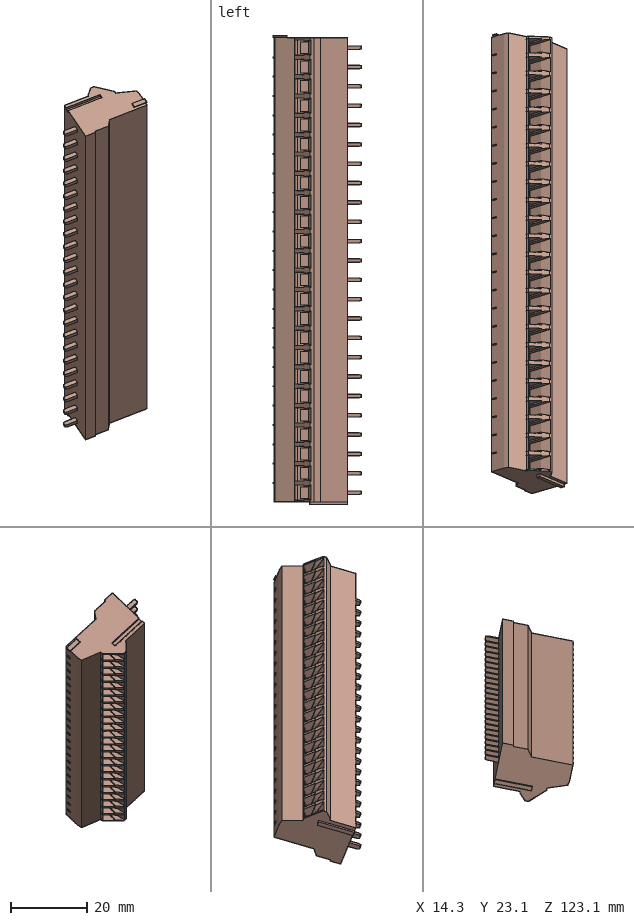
import cadquery as cq


total_length = 123.1
total_height = 23.1
width = 14.3
pole_count = 24
body_length = 121.8
body_height = 19.3
pitch = body_length / pole_count
pole_drop = 0.1

base_left = 2.2
base_right = width
base_step = 0.4
base_step_height = 3.0
back_slant_start = 6.9
back_slant_end = 8.2
back_face = 12.1
nose_root_height = 7.1
nose_lip = 0.4
nose_low = 8.9
nose_high = 9.8
ledge_height = 13.9
ledge_left = 4.0
ledge_right = 4.5
crown_left = 6.4
crown_slope_width = 1.2
crown_slope_drop = 0.2

pin_center_x = 9.0
pin_width = 1.2
pin_thickness = 1.0
pin_length = 3.6
pin_root_depth = 1.2
pin_tip_chamfer = 0.1
pin_tip_length = 0.6

tongue_center_x = 10.8
tongue_tip_width = 1.4
tongue_root_width = 0.9
tongue_length = 3.5
tongue_height = 0.5
bump_width = 1.1
bump_thickness = 0.2
bump_height = total_height - body_height - pin_length

rail_left = 3.2
rail_width = 1.1
rail_top = 10.0
rail_height = total_length - body_length - tongue_height

entry_top = 13.8
entry_shelf = 13.2
entry_funnel_top = 12.4
entry_wide_bottom = 11.5
entry_floor_bottom = 10.3
entry_mouth_bottom = 9.6
entry_wide_mouth = 4.2
entry_mouth = 4.0
entry_floor_height = 3.1
shelf_x = 4.9
step_x = 5.7
floor_x = 6.4
funnel_end_x = 2.5


def box(x0, x1, y0, y1, z0, z1):
    """A block given by its limits along each axis."""
    return cq.Workplane("XY").box(x1 - x0, y1 - y0, z1 - z0, centered=False).translate((x0, y0, z0))


def copies(part, heights):
    """One compound with a copy of the part at each height along Z."""
    solids = [part.val().translate(cq.Vector(0, 0, z)) for z in heights]
    return cq.Workplane(cq.Compound.makeCompound(solids))


def tapered_pocket(start, end):
    """A block tapering along X; each end is (x, y0, y1, height along Z), centred on Z = 0."""
    x0, start_y0, start_y1, start_height = start
    x1, end_y0, end_y1, end_height = end
    return (
        cq.Workplane("YZ", origin=(x0, 0, 0))
        .center((start_y0 + start_y1) / 2, 0)
        .rect(start_y1 - start_y0, start_height)
        .workplane(offset=x1 - x0)
        .center((end_y0 + end_y1 - start_y0 - start_y1) / 2, 0)
        .rect(end_y1 - end_y0, end_height)
        .loft(ruled=True)
    )


def make_body():
    """The housing: one constant cross-section along the whole length."""
    profile = [
        (base_left, 0),
        (base_right, 0),
        (base_right, base_step_height),
        (base_right - base_step, base_step_height),
        (base_right - base_step, back_slant_start),
        (back_face, back_slant_end),
        (back_face, body_height),
        (crown_left + crown_slope_width, body_height),
        (crown_left, body_height - crown_slope_drop),
        (ledge_right, ledge_height),
        (ledge_left, ledge_height),
        (0, nose_high),
        (0, nose_low),
        (base_left - nose_lip, nose_root_height),
        (base_left, nose_root_height),
    ]
    return cq.Workplane("XY").polyline(profile).close().extrude(body_length)


def make_pin():
    """A flat pin pointing to -Y with a tapered tip, centred on Z = 0 and rooted inside the body."""
    tip_width = pin_width - 2 * pin_tip_chamfer
    tip_thickness = pin_thickness - 2 * pin_tip_chamfer
    return (
        cq.Workplane("XZ", origin=(pin_center_x, pin_root_depth, 0))
        .rect(pin_width, pin_thickness)
        .extrude(pin_root_depth + pin_length - pin_tip_length)
        .faces("<Y")
        .workplane()
        .rect(pin_width, pin_thickness)
        .workplane(offset=pin_tip_length)
        .rect(tip_width, tip_thickness)
        .loft(ruled=True)
    )


def make_tongue():
    """A dovetail tongue standing on the upper end face and reaching slightly past the top face."""
    half_root = tongue_root_width / 2
    half_tip = tongue_tip_width / 2
    section = [
        (tongue_center_x - half_root, 0),
        (tongue_center_x + half_root, 0),
        (tongue_center_x + half_tip, tongue_height),
        (tongue_center_x - half_tip, tongue_height),
    ]
    top = body_height + bump_height
    return (
        cq.Workplane("XZ", origin=(0, top, body_length))
        .polyline(section)
        .close()
        .extrude(tongue_length + bump_height)
    )


def make_bump():
    """A low bump on the top face, centred on Z = 0 and rooted inside the body."""
    return box(
        tongue_center_x - bump_width / 2, tongue_center_x + bump_width / 2,
        body_height - bump_height, body_height + bump_height,
        -bump_thickness / 2, bump_thickness / 2,
    )


def make_entry():
    """A stepped wire entry, centred on Z = 0."""
    upper = tapered_pocket(
        (0, entry_wide_bottom, entry_top, entry_wide_mouth),
        (shelf_x, entry_wide_bottom, entry_top, entry_mouth),
    )
    step = box(shelf_x, step_x, entry_wide_bottom, entry_shelf, -entry_mouth / 2, entry_mouth / 2)
    funnel = tapered_pocket(
        (0, entry_mouth_bottom, entry_funnel_top, entry_mouth),
        (funnel_end_x, entry_floor_bottom, entry_funnel_top, entry_floor_height),
    )
    bore = box(
        funnel_end_x, floor_x,
        entry_floor_bottom, entry_funnel_top,
        -entry_floor_height / 2, entry_floor_height / 2,
    )
    return upper.union(step).union(funnel).union(bore)


def make_rail(z0):
    """The bar of the guide rail, with its lower face at z0."""
    return box(rail_left, rail_left + rail_width, 0, rail_top, z0, z0 + rail_height)


result = make_body()
result = result.cut(make_rail(body_length - rail_height))
result = result.union(make_rail(-rail_height))

pole_middles = [(pole + 0.5) * pitch - pole_drop for pole in range(pole_count)]
seams = [pole * pitch - pole_drop for pole in range(1, pole_count)]
result = result.cut(copies(make_entry(), pole_middles))
result = result.union(copies(make_pin(), pole_middles))
result = result.union(copies(make_bump(), seams))
result = result.union(make_tongue())